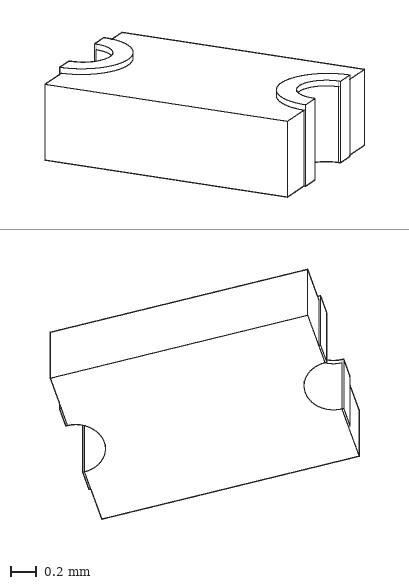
import cadquery as cq

total_length = 2.12
board_width = 1.4
total_height = 0.67

pad_thickness = 0.047
end_plate_thickness = 0.015
pad_radius = 0.4
notch_radius = 0.23

board_length = total_length - 2 * end_plate_thickness
board_height = total_height - pad_thickness
end_x = total_length / 2


def make_envelope():
    """Block with the overall outer size."""
    return cq.Workplane("XY").box(total_length, board_width, total_height, centered=(True, True, False))


def notch_cutter(side):
    """Half-round notch centred on the board end, running straight out through the end plate."""
    board_end_x = side * board_length / 2
    outer_x = side * end_x
    return (
        cq.Workplane("XY")
        .moveTo(outer_x, -notch_radius)
        .lineTo(board_end_x, -notch_radius)
        .threePointArc((board_end_x - side * notch_radius, 0), (board_end_x, notch_radius))
        .lineTo(outer_x, notch_radius)
        .close()
        .extrude(total_height)
    )


def make_board():
    """Rectangular board with a half-round notch through each end."""
    board = cq.Workplane("XY").box(board_length, board_width, board_height, centered=(True, True, False))
    for side in (-1, 1):
        board = board.cut(notch_cutter(side))
    return board


def make_terminal(side, board):
    """Half ring on top of the board, joined to two plates beside the notch on its end face."""
    pad = cq.Workplane("XY").center(side * end_x, 0).circle(pad_radius).extrude(total_height)
    pad = pad.intersect(make_envelope())
    return pad.cut(notch_cutter(side)).cut(board)


board = make_board()
terminals = [make_terminal(side, board) for side in (-1, 1)]

result = cq.Compound.makeCompound([
    *board.solids().vals(),
    *[solid for terminal in terminals for solid in terminal.solids().vals()],
])